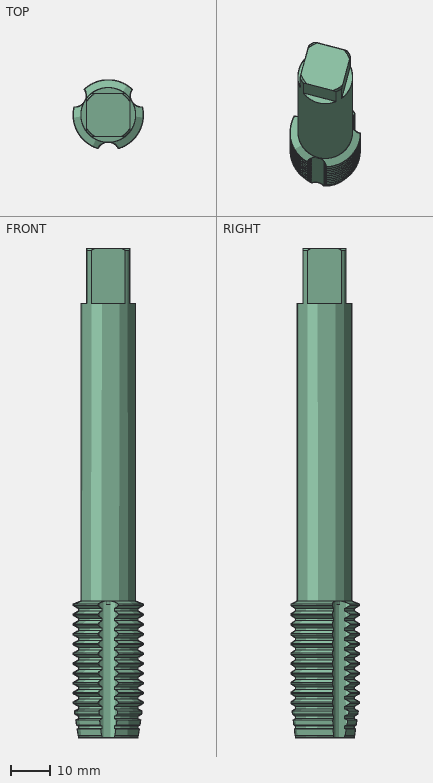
import cadquery as cq
import math

total_length = 125.0
head_length = 35.0
square_length = 14.0
square_width = 11.0
square_chamfer = 0.5
shank_radius = 7.0
hub_length = 0.9

pitch = 2.5
crest_radius = 9.0
flank_half_angle = 30
crest_flat = pitch / 8
root_flat = pitch / 4
flank_height = (pitch - crest_flat - root_flat) / 2
flank_depth = flank_height / math.tan(math.radians(flank_half_angle))
root_radius = crest_radius - flank_depth
flank_slope = flank_height / flank_depth
top_crest_z = 34.0

lead_length = 9.2
tip_radius = 7.6

flute_count = 3
flute_floor_sink = 0.04
flute_radius = 2.9
first_flute_angle = -90

head_clearance = 1.2


def make_shank():
    """Round shank with four flats at its upper end, standing on the head."""
    shank = (
        cq.Workplane("XY")
        .workplane(offset=head_length)
        .circle(shank_radius)
        .extrude(total_length - head_length)
        .faces(">Z")
        .chamfer(square_chamfer)
    )
    flat_cutter_radius = 2 * shank_radius
    square_bottom_z = total_length - square_length
    flats = (
        cq.Workplane("XY")
        .workplane(offset=square_bottom_z)
        .circle(flat_cutter_radius)
        .rect(square_width, square_width)
        .extrude(square_length)
    )
    return shank.cut(flats)


def make_blank():
    """Solid of revolution of the head before threading: lead taper, full crest and top flank."""
    outline = [
        (0, 0),
        (tip_radius, 0),
        (crest_radius, lead_length),
        (crest_radius, top_crest_z + crest_flat / 2),
        (shank_radius, head_length),
        (0, head_length),
    ]
    return cq.Workplane("XZ").polyline(outline).close().revolve(360, (0, 0), (0, 1))


def make_thread_groove(root_z):
    """Ring to cut away between two neighbouring crests, with its root centred at root_z."""
    cut_radius = crest_radius + head_clearance
    half_root = root_flat / 2
    half_mouth = half_root + (cut_radius - root_radius) * flank_slope
    outline = [
        (root_radius, root_z - half_root),
        (cut_radius, root_z - half_mouth),
        (cut_radius, root_z + half_mouth),
        (root_radius, root_z + half_root),
    ]
    return cq.Workplane("XZ").polyline(outline).close().revolve(360, (0, 0), (0, 1))


def make_flute(angle):
    """Straight round cutter that runs along the whole head at the given angle about Z."""
    axis_distance = shank_radius - flute_floor_sink + flute_radius
    return (
        cq.Workplane("XY")
        .workplane(offset=-head_clearance)
        .center(
            axis_distance * math.cos(math.radians(angle)),
            axis_distance * math.sin(math.radians(angle)),
        )
        .circle(flute_radius)
        .extrude(head_length + 2 * head_clearance)
    )


def make_hub():
    """Plain disc as wide as the shank that closes the flute floors at the top of the head."""
    return (
        cq.Workplane("XY")
        .workplane(offset=head_length - hub_length)
        .circle(shank_radius)
        .extrude(hub_length)
    )


def make_head():
    """Threaded and fluted head that carries the shank on its top face."""
    head = make_blank()
    groove_count = math.floor((top_crest_z + pitch / 2) / pitch)
    for index in range(groove_count):
        head = head.cut(make_thread_groove(top_crest_z - (index + 0.5) * pitch))
    for index in range(flute_count):
        head = head.cut(make_flute(first_flute_angle + index * 360 / flute_count))
    return head.union(make_hub())


shank = make_shank()
head = make_head()
result = cq.Compound.makeCompound([shank.val(), head.val()])